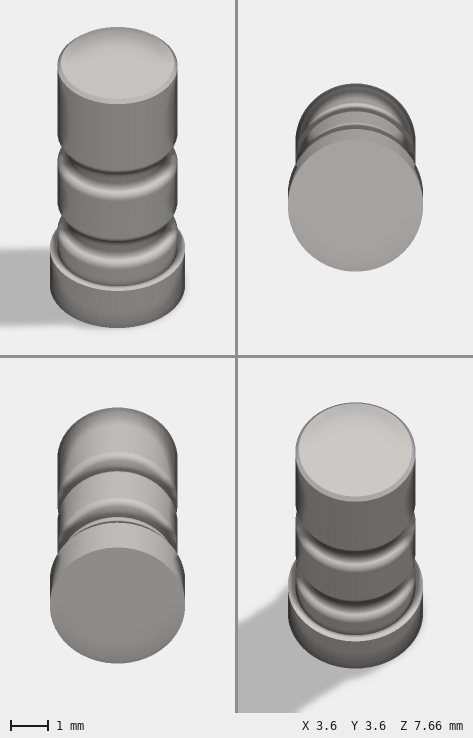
import cadquery as cq
import math

total_height = 7.66
head_diameter = 3.6
head_height = 1.28
body_diameter = 3.2
top_chamfer = 0.1

groove_diameter = 2.62
groove_floor_width = 0.3
groove_blend_radius = 0.2
groove_center_heights = (2.39, 4.755)

head_radius = head_diameter / 2
body_radius = body_diameter / 2
groove_radius = groove_diameter / 2
groove_depth = body_radius - groove_radius

blend_angle = math.acos(1 - groove_depth / (2 * groove_blend_radius))
blend_height = groove_blend_radius * math.sin(blend_angle)
arc_mid_inset = groove_blend_radius * (1 - math.cos(blend_angle / 2))
arc_mid_height = groove_blend_radius * math.sin(blend_angle / 2)


def add_groove(profile, center_height):
    """Extend the half profile upward through one groove, ending on the body surface."""
    wall_mid_radius = body_radius - groove_depth / 2
    lip_arc_radius = body_radius - arc_mid_inset
    root_arc_radius = groove_radius + arc_mid_inset

    floor_bottom = center_height - groove_floor_width / 2
    lower_wall_mid = floor_bottom - blend_height
    lower_lip = lower_wall_mid - blend_height
    floor_top = center_height + groove_floor_width / 2
    upper_wall_mid = floor_top + blend_height
    upper_lip = upper_wall_mid + blend_height

    return (
        profile.lineTo(body_radius, lower_lip)
        .threePointArc((lip_arc_radius, lower_lip + arc_mid_height), (wall_mid_radius, lower_wall_mid))
        .threePointArc((root_arc_radius, floor_bottom - arc_mid_height), (groove_radius, floor_bottom))
        .lineTo(groove_radius, floor_top)
        .threePointArc((root_arc_radius, floor_top + arc_mid_height), (wall_mid_radius, upper_wall_mid))
        .threePointArc((lip_arc_radius, upper_lip - arc_mid_height), (body_radius, upper_lip))
    )


def make_pin():
    """Revolve the half profile of head, grooved body and chamfered tip around Z."""
    profile = (
        cq.Workplane("XZ")
        .lineTo(head_radius, 0)
        .lineTo(head_radius, head_height)
        .lineTo(body_radius, head_height)
    )
    for center_height in groove_center_heights:
        profile = add_groove(profile, center_height)
    profile = (
        profile.lineTo(body_radius, total_height - top_chamfer)
        .lineTo(body_radius - top_chamfer, total_height)
        .lineTo(0, total_height)
        .close()
    )
    return profile.revolve(360, (0, 0, 0), (0, 1, 0))


result = make_pin()